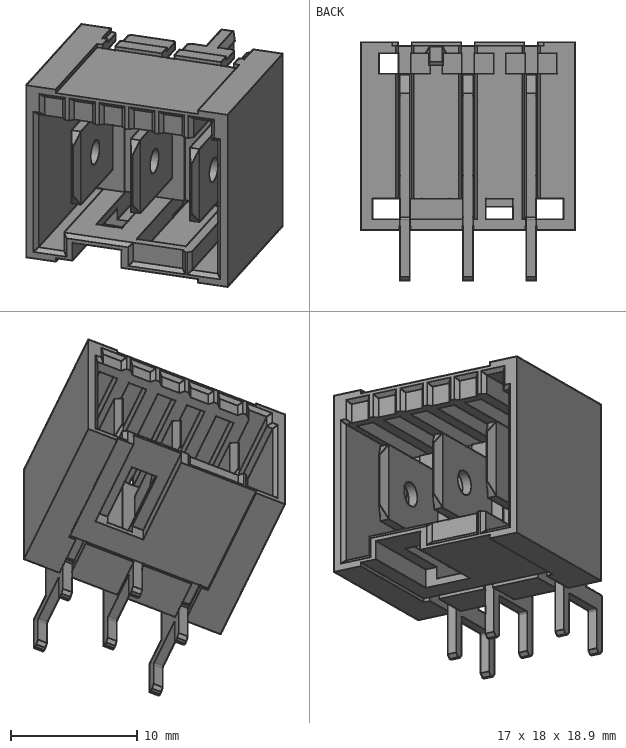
import cadquery as cq


width = 17.0
depth = 12.8
height = 14.91

cavity_half_width = 7.56
floor_top = 0.89
platform_top = 2.5
cavity_top = 12.4
slot_top = 14.0
lead_in = 0.32
wall_front = 9.55
pin_seat = 11.81

slot_count = 6
slot_pitch = 2.51
slot_width = 1.53
platform_left = -5.4
pocket_left = 0.43
pocket_right = 4.6
right_channel_left = 5.4
plate_back = 1.08

relief_width = 11.98
relief_depth = 0.3
band_back = 10.75

notch_left = -4.6
notch_right = -0.47
notch_top = 1.85
notch_back = 7.56
window_left = -3.55
window_right = -1.42
window_front = 2.7

pad_ranges = [(-6.25, -3.65), (-1.44, 1.44), (3.65, 6.5)]
pad_height = 0.15

pin_pitch = 4.999
pin_width = 0.8
pin_slot_width = 1.05
floor_slot_width = 0.85
slot_corner = 0.19
blade_bottom = 4.33
blade_top = 10.66
blade_shoulder = 1.98
tip_front = 1.2
tip_width = 0.1
tip_bevel = 1.02
pin_hole_diameter = 2.0
pin_hole_y = 5.3
post_front = 11.96
post_back = 15.63
post_top = 12.32
post_bevel_y = 2.05
post_bevel_z = 1.47
bar_bottom = -0.35
bar_top = 1.02
overall_height = 18.9
leg_bottom = height - overall_height
leg_width = 0.83
leg_tip_flat = 0.25
leg_tip_height = 0.3
pin_rear = 18.0
leg_fillet = 0.11
bar_fillet = 0.15
outer_bar = (12.17, pin_rear)
middle_bar = (9.75, post_back)

peg_x = 2.53
peg_width = 1.66
peg_top_width = 0.96
peg_neck_width = 1.15
peg_bottom = 13.06
peg_shoulder = 14.0
peg_end = 16.37
peg_side_bevel = (0.32, 0.57)
peg_bottom_bevel = (0.19, 0.28)
peg_top_bevel = (0.2, 0.05)


def block(x0, x1, y0, y1, z0, z1):
    return cq.Workplane("XY").box(x1 - x0, y1 - y0, z1 - z0, centered=False).translate((x0, y0, z0))


def slot_ranges():
    first = -slot_pitch * (slot_count - 1) / 2
    centres = [first + i * slot_pitch for i in range(slot_count)]
    return [(x - slot_width / 2, x + slot_width / 2) for x in centres]


def cavity_cells():
    middle = (platform_top + cavity_top) / 2
    channels = [
        (-cavity_half_width, platform_left),
        (pocket_left, pocket_right),
        (right_channel_left, cavity_half_width),
    ]
    cells = [(left, right, floor_top, middle) for left, right in channels]
    cells += [(left, right, middle, slot_top) for left, right in slot_ranges()]
    return cells


def flared_cell(left, right, bottom, top):
    straight = block(left, right, 0, depth, bottom, top)
    flare = (
        cq.Workplane("XZ", origin=((left + right) / 2, 0, (bottom + top) / 2))
        .rect(right - left + 2 * lead_in, top - bottom + 2 * lead_in)
        .workplane(offset=-lead_in)
        .rect(right - left, top - bottom)
        .loft()
    )
    return straight.union(flare)


def cavity():
    rear_wall = block(
        -cavity_half_width, cavity_half_width, wall_front, depth, platform_top, cavity_top
    )
    space = flared_cell(-cavity_half_width, cavity_half_width, platform_top, cavity_top)

    slots = slot_ranges()
    space = space.cut(block(slots[0][0], slots[-1][1], 0, lead_in, cavity_top, slot_top))
    space = space.cut(block(pocket_right, right_channel_left, 0, lead_in, floor_top, platform_top))

    for cell in cavity_cells():
        space = space.union(flared_cell(*cell))
    return space.cut(rear_wall)


def housing():
    half = width / 2
    relief = relief_width / 2
    body = block(-half, half, 0, depth, 0, height).cut(cavity())

    for left, right in slot_ranges()[:-1]:
        body = body.union(block(left, right, lead_in, plate_back, cavity_top, slot_top))
    body = body.union(block(pocket_left, pocket_right, lead_in, plate_back, floor_top, platform_top))

    roof_z = height - relief_depth
    body = body.cut(block(-relief, relief, 0, wall_front, roof_z, height))
    body = body.cut(block(-relief, relief, band_back, depth, roof_z, height))
    body = body.cut(block(-relief, relief, 0, wall_front, 0, relief_depth))

    body = body.cut(block(notch_left, notch_right, 0, notch_back, 0, notch_top))
    body = body.cut(block(window_left, window_right, window_front, depth, floor_top, platform_top))

    for left, right in pad_ranges:
        pad = block(left, right, wall_front - pad_height, wall_front, platform_top, cavity_top)
        body = body.union(pad)
    return body


def pin_slot(x):
    left = x - pin_slot_width / 2
    right = x + pin_slot_width / 2
    half_floor = floor_slot_width / 2
    upright = block(left, right, pin_seat, depth, floor_top, height)
    roof = block(left, right, wall_front, depth, cavity_top, height)
    floor = block(x - half_floor, x + half_floor, wall_front, depth, 0, bar_top)
    mouth = (
        cq.Workplane("XY", origin=(0, 0, floor_top))
        .polyline(
            [
                (left - slot_corner, depth),
                (left, depth - slot_corner),
                (right, depth - slot_corner),
                (right + slot_corner, depth),
            ]
        )
        .close()
        .extrude(height - floor_top)
    )
    return upright.union(roof).union(floor).union(mouth)


def leg(y0):
    y1 = y0 + leg_width
    middle = y0 + leg_width / 2
    shoulder = leg_bottom + leg_tip_height
    outline = [
        (y0, bar_top),
        (y0, shoulder),
        (middle - leg_tip_flat / 2, leg_bottom),
        (middle + leg_tip_flat / 2, leg_bottom),
        (y1, shoulder),
        (y1, bar_top),
    ]
    return cq.Workplane("YZ").polyline(outline).close().extrude(pin_width / 2, both=True)


def pin(x, bar):
    half = pin_width / 2
    bar_front, bar_back = bar
    post_outline = [
        (post_front, bar_top),
        (post_back, bar_top),
        (post_back, post_top - post_bevel_z),
        (post_back - post_bevel_y, post_top),
        (post_front, post_top),
    ]
    body = cq.Workplane("YZ").polyline(post_outline).close().extrude(half, both=True)
    body = body.union(block(-half, half, bar_front, bar_back, bar_bottom, bar_top))
    body = body.union(leg(bar_front)).union(leg(bar_back - leg_width))

    blade_z = (blade_bottom + blade_top) / 2
    blade_height = blade_top - blade_bottom
    body = body.union(block(-half, half, blade_shoulder, post_front, blade_bottom, blade_top))
    tip = (
        cq.Workplane("XZ", origin=(0, blade_shoulder, blade_z))
        .rect(pin_width, blade_height)
        .workplane(offset=blade_shoulder - tip_front)
        .rect(tip_width, blade_height - 2 * tip_bevel)
        .loft()
    )
    hole = (
        cq.Workplane("YZ", origin=(0, pin_hole_y, blade_z))
        .circle(pin_hole_diameter / 2)
        .extrude(pin_width, both=True)
    )
    body = body.union(tip).cut(hole)

    inner_corners = cq.selectors.BoxSelector(
        (-pin_width, bar_front + leg_width / 2, bar_bottom - leg_fillet),
        (pin_width, bar_back - leg_width / 2, bar_bottom + leg_fillet),
    )
    body = body.edges("|X").edges(inner_corners).fillet(leg_fillet)
    if bar_back > post_back:
        body = body.edges("|X and >Y").edges(">Z").fillet(bar_fillet)
    return body.translate((x, 0, 0))


def peg():
    half = peg_width / 2
    half_top = peg_top_width / 2
    half_neck = peg_neck_width / 2
    top = height - relief_depth
    section = [
        (-half_neck, peg_bottom),
        (half_neck, peg_bottom),
        (half_neck, peg_shoulder),
        (half, peg_shoulder),
        (half_top, top),
        (-half_top, top),
        (-half, peg_shoulder),
        (-half_neck, peg_shoulder),
    ]
    bar = cq.Workplane("XZ", origin=(0, depth, 0)).polyline(section).close().extrude(depth - peg_end)

    bevel_x, bevel_y = peg_side_bevel
    plan = [
        (-half, depth),
        (half, depth),
        (half, peg_end - bevel_y),
        (half - bevel_x, peg_end),
        (bevel_x - half, peg_end),
        (-half, peg_end - bevel_y),
    ]
    bar = bar.intersect(cq.Workplane("XY").polyline(plan).close().extrude(height))

    bottom_y, bottom_z = peg_bottom_bevel
    top_y, top_z = peg_top_bevel
    side = [
        (depth, peg_bottom),
        (peg_end - bottom_y, peg_bottom),
        (peg_end, peg_bottom + bottom_z),
        (peg_end, top - top_z),
        (peg_end - top_y, top),
        (depth, top),
    ]
    profile = cq.Workplane("YZ").polyline(side).close().extrude(peg_width, both=True)
    return bar.intersect(profile).translate((peg_x, 0, 0))


result = housing()
for place in (-1, 0, 1):
    pin_x = place * pin_pitch
    bar_range = outer_bar if place else middle_bar
    result = result.cut(pin_slot(pin_x)).union(pin(pin_x, bar_range))
result = result.union(peg())